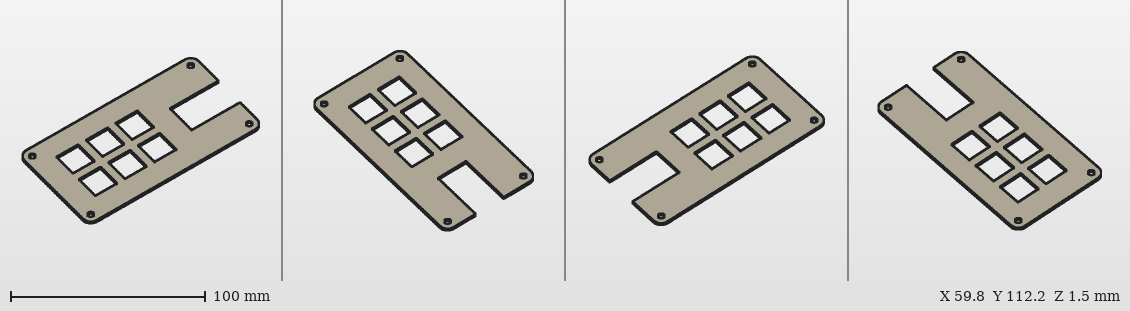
import cadquery as cq

width = 59.8
length = 112.2
thickness = 1.5
corner_radius = 5.0

screw_hole_diameter = 3.4

notch_width = 18.4
notch_depth = 31.2
notch_center_x = 1.2

key_size = 14.0
key_pitch = 19.1
key_columns = 2
key_rows = 3
key_center_x = -0.3
key_center_y = -15.5


def make_plate():
    plate = cq.Workplane("XY").box(width, length, thickness, centered=(True, True, False))
    return plate.edges("|Z").fillet(corner_radius)


def make_screw_holes():
    return (
        cq.Workplane("XY")
        .rect(width - 2 * corner_radius, length - 2 * corner_radius, forConstruction=True)
        .vertices()
        .circle(screw_hole_diameter / 2)
        .extrude(thickness)
    )


def make_notch():
    return (
        cq.Workplane("XY")
        .center(notch_center_x, length / 2 - notch_depth / 2)
        .rect(notch_width, notch_depth)
        .extrude(thickness)
    )


def make_key_openings():
    return (
        cq.Workplane("XY")
        .center(key_center_x, key_center_y)
        .rarray(key_pitch, key_pitch, key_columns, key_rows)
        .rect(key_size, key_size)
        .extrude(thickness)
    )


result = make_plate().cut(make_screw_holes()).cut(make_notch()).cut(make_key_openings())